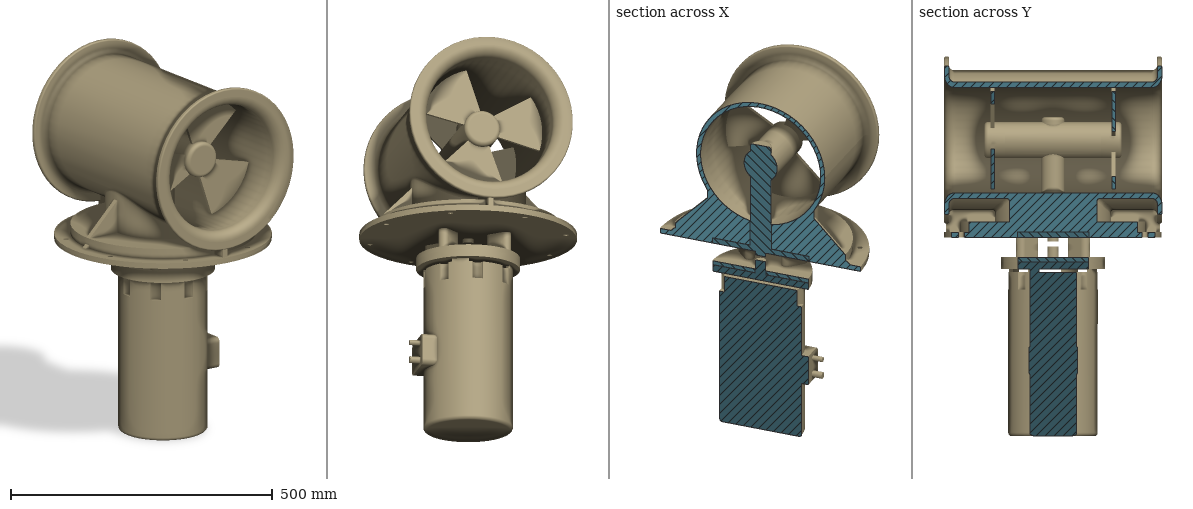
import cadquery as cq
import math


tunnel_half_length = 208.0
tunnel_outer_radius = 133.5
tunnel_wall = 9.5
tunnel_inner_radius = tunnel_outer_radius - tunnel_wall
flange_radius = 159.5
flange_thickness = 9.5
flange_rounding = 3.0
flare_radius = 19.0
collar_fillet = flare_radius - flange_thickness
flare_start = tunnel_half_length - flare_radius

neck_radius = 111.0
neck_fillet = 6.0
step_radius = 177.0
step_top = -156.0
base_radius = 208.0
base_top = -175.5
base_thickness = 11.0
base_bottom = base_top - base_thickness
bolt_hole_count = 8
bolt_hole_radius = 5.0
bolt_circle_radius = 190.0

rib_thickness = 10.0
rib_end = 175.5
rib_foot_length = 185.5
rib_foot_height = 6.5
end_rib_length = 199.0
end_rib_foot_length = 204.5

gear_leg_radius = 22.0
gear_leg_top = 43.5
gear_leg_rounding = 6.0
gear_case_radius = 35.0
gear_case_half_length = 92.0
shaft_radius = 11.0
shaft_end = -194.0
foot_radius = 99.0
plate_radius = foot_radius
bracket_top = -223.0
bracket_thickness = 9.5
bracket_bottom = bracket_top - bracket_thickness
leg_count = 4
leg_half_width = 10.0
leg_inner_center = 54.5
leg_outer_center = 85.5
propeller_shaft_radius = 8.0

motor_radius = 85.5
motor_bottom = -565.5
motor_bottom_fillet = 6.5
motor_plate_bottom = -246.5
motor_top = -252.0
motor_shaft_top = -204.0
post_count = 4
post_inner_radius = 77.5
post_center_angle = 67.5
post_sweep = 22.5
notch_count = 8
notch_radius = 10.0
notch_bottom = -285.5

box_half_width = 47.0
box_top = -390.0
box_height = 61.0
box_back = 99.0
box_rounding = 9.5
stud_end = 119.5
stud_x = -23.0
upper_stud_z = -404.0
upper_stud_radius = 5.0
lower_stud_z = -438.0
lower_stud_radius = 6.5

hub_radius = gear_case_radius
hub_length = 39.0
hub_rounding = 7.0
hub_end = gear_case_half_length + hub_length
blade_root_radius = 32.5
blade_tip_radius = 119.0
blade_thickness = 7.0
blade_face = 119.0
blade_edges = [
    (128.0, 144.2, 197.3, 203.0),
    (12.0, 13.0, 75.8, 88.0),
    (244.0, 248.4, 316.4, 318.0),
]


def polar(radius, degrees):
    """The flat point at a radius and an angle."""
    angle = math.radians(degrees)
    return (radius * math.cos(angle), radius * math.sin(angle))


def disc(radius, bottom, top):
    """A cylinder on the Z axis."""
    return cq.Workplane("XY").workplane(offset=bottom).circle(radius).extrude(top - bottom)


def rod_along_x(radius, start, end):
    """A cylinder on the X axis."""
    return cq.Workplane("YZ").workplane(offset=start).circle(radius).extrude(end - start)


def tunnel_bore():
    """The inside of the tunnel with a bell mouth at each end, as a solid."""
    diagonal = flare_radius * math.sqrt(0.5)
    mouth_center_r = tunnel_inner_radius + flare_radius
    end = tunnel_half_length
    return (
        cq.Workplane("XY")
        .moveTo(-end, 0)
        .lineTo(-end, mouth_center_r)
        .threePointArc(
            (-flare_start - diagonal, mouth_center_r - diagonal),
            (-flare_start, tunnel_inner_radius),
        )
        .lineTo(flare_start, tunnel_inner_radius)
        .threePointArc(
            (flare_start + diagonal, mouth_center_r - diagonal),
            (end, mouth_center_r),
        )
        .lineTo(end, 0)
        .close()
        .revolve(360, (0, 0, 0), (1, 0, 0))
    )


def tunnel_blank():
    """The outside of the tunnel with its end flanges, before boring."""
    blank = rod_along_x(tunnel_outer_radius, -tunnel_half_length, tunnel_half_length)
    back = tunnel_half_length - flange_thickness
    fillet_mid = collar_fillet * (1 - math.sqrt(0.5))
    for side in (-1, 1):
        flange = rod_along_x(flange_radius, side * back, side * tunnel_half_length)
        flange = flange.edges().fillet(flange_rounding)
        collar = (
            cq.Workplane("XY")
            .moveTo(side * flare_start, 0)
            .lineTo(side * flare_start, tunnel_outer_radius)
            .threePointArc(
                (side * (back - fillet_mid), tunnel_outer_radius + fillet_mid),
                (side * back, tunnel_outer_radius + collar_fillet),
            )
            .lineTo(side * back, 0)
            .close()
            .revolve(360, (0, 0, 0), (1, 0, 0))
        )
        blank = blank.union(flange).union(collar)
    return blank


def side_ribs():
    """The sloping ribs on the -Y and +Y sides of the neck, each with a small foot."""
    rise = rib_end - neck_radius
    ribs = cq.Workplane("XY")
    for side in (-1, 1):
        outline = [
            (0, base_top),
            (side * rib_foot_length, base_top),
            (side * (rib_foot_length - rib_foot_height), base_top + rib_foot_height),
            (side * rib_end, base_top + rib_foot_height),
            (side * rib_end, step_top),
            (side * neck_radius, step_top + rise),
            (0, step_top + rise),
        ]
        rib = cq.Workplane("YZ").polyline(outline).close().extrude(rib_thickness / 2, both=True)
        ribs = ribs.union(rib)
    return ribs


def end_ribs():
    """The ribs along X that carry the tunnel ends."""
    web_top = -(tunnel_inner_radius + tunnel_wall / 2)
    outline = [
        (-end_rib_foot_length, base_top),
        (end_rib_foot_length, base_top),
        (end_rib_foot_length, step_top),
        (end_rib_length, step_top),
        (end_rib_length, web_top),
        (-end_rib_length, web_top),
        (-end_rib_length, step_top),
        (-end_rib_foot_length, step_top),
    ]
    return cq.Workplane("XZ").polyline(outline).close().extrude(rib_thickness / 2, both=True)


def make_housing():
    """The tunnel, its neck, the stepped round base and the ribs."""
    housing = tunnel_blank().union(disc(neck_radius, base_top, 0))
    zone = neck_radius + neck_fillet
    seam_zone = cq.selectors.BoxSelector((-zone, -zone, -tunnel_outer_radius), (zone, zone, 0))
    housing = housing.edges(seam_zone).fillet(neck_fillet)
    housing = housing.union(disc(step_radius, base_top, step_top))
    housing = housing.union(disc(base_radius, base_bottom, base_top))
    housing = housing.union(side_ribs()).union(end_ribs())
    housing = housing.cut(tunnel_bore())
    housing = housing.cut(disc(gear_leg_radius, base_bottom, 0))
    housing = housing.cut(disc(foot_radius, base_bottom, base_top))
    bolt_holes = (
        cq.Workplane("XY")
        .workplane(offset=base_bottom)
        .polarArray(bolt_circle_radius, 180 / bolt_hole_count, 360, bolt_hole_count)
        .circle(bolt_hole_radius)
        .extrude(base_thickness)
    )
    return housing.cut(bolt_holes)


def bracket_legs():
    """Round-ended legs on the diagonals, between the foot and the bracket plate."""
    length = leg_outer_center - leg_inner_center
    leg = (
        cq.Workplane("XY")
        .workplane(offset=bracket_top)
        .center((leg_inner_center + leg_outer_center) / 2, 0)
        .slot2D(length + 2 * leg_half_width, 2 * leg_half_width)
        .extrude(base_bottom - bracket_top)
    )
    legs = cq.Workplane("XY")
    for index in range(leg_count):
        angle = (index + 0.5) * 360 / leg_count
        legs = legs.union(leg.rotate((0, 0, 0), (0, 0, 1), angle))
    return legs


def make_drive():
    """The gear leg with its case and shafts, the foot set in the base, and the motor bracket."""
    leg = disc(gear_leg_radius, base_bottom, gear_leg_top).faces(">Z").edges().fillet(gear_leg_rounding)
    drive = leg.union(rod_along_x(gear_case_radius, -gear_case_half_length, gear_case_half_length))
    drive = drive.union(rod_along_x(propeller_shaft_radius, -hub_end, hub_end))
    drive = drive.union(disc(foot_radius, base_bottom, base_top))
    drive = drive.union(disc(shaft_radius, shaft_end, base_bottom))
    bracket = disc(plate_radius, bracket_bottom, bracket_top)
    bracket = bracket.cut(disc(shaft_radius, bracket_bottom, bracket_top))
    return drive.union(bracket_legs()).union(bracket)


def motor_vents():
    """The room inside the posts and the openings between them, as one solid to cut away."""
    vents = disc(post_inner_radius, motor_top, motor_plate_bottom)
    pitch = 360 / post_count
    reach = plate_radius
    for index in range(post_count):
        middle_angle = post_center_angle + (index + 0.5) * pitch
        start_angle = middle_angle - (pitch - post_sweep) / 2
        end_angle = middle_angle + (pitch - post_sweep) / 2
        opening = (
            cq.Workplane("XY")
            .workplane(offset=motor_top)
            .lineTo(*polar(reach, start_angle))
            .threePointArc(polar(reach, middle_angle), polar(reach, end_angle))
            .close()
            .extrude(motor_plate_bottom - motor_top)
        )
        vents = vents.union(opening)
    return vents


def terminal_box():
    """The box on the +Y side of the motor with its two studs."""
    box = (
        cq.Workplane("XY")
        .box(2 * box_half_width, box_back, box_height, centered=(True, False, False))
        .translate((0, 0, box_top - box_height))
        .edges("|Y")
        .fillet(box_rounding)
    )
    for z, radius in ((upper_stud_z, upper_stud_radius), (lower_stud_z, lower_stud_radius)):
        stud = cq.Workplane("XZ").center(stud_x, z).circle(radius).extrude(-stud_end)
        box = box.union(stud)
    return box


def make_motor():
    """The motor can, its mounting plate on posts, its shaft and the terminal box."""
    can = disc(motor_radius, motor_bottom, motor_plate_bottom).faces("<Z").edges().fillet(motor_bottom_fillet)
    notches = (
        cq.Workplane("XY")
        .workplane(offset=notch_bottom)
        .polarArray(motor_radius, 0, 360, notch_count)
        .circle(notch_radius)
        .extrude(motor_top - notch_bottom)
    )
    motor = can.cut(notches).cut(motor_vents())
    motor = motor.union(disc(plate_radius, motor_plate_bottom, bracket_bottom))
    motor = motor.union(disc(shaft_radius, bracket_bottom, motor_shaft_top))
    return motor.union(terminal_box())


def blade(edges):
    """A flat blade with straight edges and a round tip, on the -X side."""
    root_start, tip_start, tip_end, root_end = edges
    return (
        cq.Workplane("YZ")
        .workplane(offset=-blade_face)
        .moveTo(*polar(blade_root_radius, root_start))
        .lineTo(*polar(blade_tip_radius, tip_start))
        .threePointArc(
            polar(blade_tip_radius, (tip_start + tip_end) / 2),
            polar(blade_tip_radius, tip_end),
        )
        .lineTo(*polar(blade_root_radius, root_end))
        .threePointArc(
            polar(blade_root_radius, (root_start + root_end) / 2),
            polar(blade_root_radius, root_start),
        )
        .close()
        .extrude(blade_thickness)
    )


def make_propeller(turn):
    """A three-bladed propeller on the -X side, turned about Y."""
    propeller = rod_along_x(hub_radius, -hub_end, -gear_case_half_length)
    propeller = propeller.faces("<X").edges().fillet(hub_rounding)
    for edges in blade_edges:
        propeller = propeller.union(blade(edges))
    propeller = propeller.cut(rod_along_x(propeller_shaft_radius, -hub_end, -gear_case_half_length))
    return propeller.rotate((0, 0, 0), (0, 1, 0), turn)


housing = make_housing()
drive = make_drive()
motor = make_motor()
propellers = [make_propeller(turn) for turn in (0, 180)]

result = cq.Compound.makeCompound(
    [housing.val(), drive.val(), motor.val()] + [propeller.val() for propeller in propellers]
)